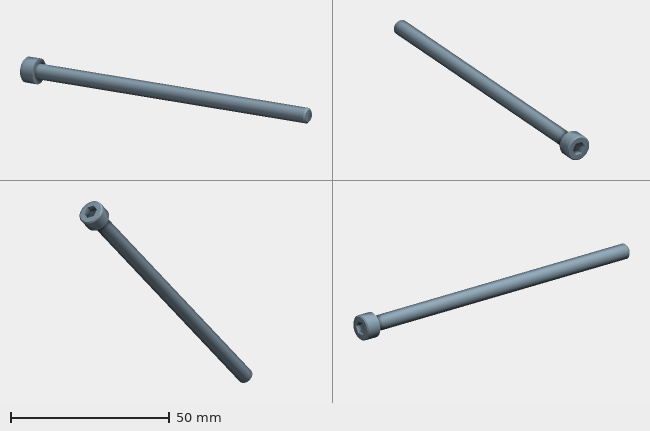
import cadquery as cq
import math

total_length = 104.8
head_diameter = 8.3
head_height = 4.8
head_edge_chamfer = 0.4
shank_diameter = 5.0
tip_chamfer = 0.5
hex_across_flats = 4.0
hex_depth = 2.5

head_face_x = -total_length / 2
hex_across_corners = hex_across_flats / math.cos(math.pi / 6)


def make_head():
    """Cylindrical head with a chamfered outer rim."""
    head = cq.Workplane("YZ", origin=(head_face_x, 0, 0)).circle(head_diameter / 2).extrude(head_height)
    return head.faces("<X").edges().chamfer(head_edge_chamfer)


def make_shank():
    """Plain shank running from the head to a chamfered tip."""
    shank = (
        cq.Workplane("YZ", origin=(head_face_x + head_height, 0, 0))
        .circle(shank_diameter / 2)
        .extrude(total_length - head_height)
    )
    return shank.faces(">X").edges().chamfer(tip_chamfer)


def make_hex_socket():
    """Hexagonal key socket with corners pointing along +Y and -Y."""
    return (
        cq.Workplane("YZ", origin=(head_face_x, 0, 0))
        .polygon(6, hex_across_corners)
        .extrude(hex_depth)
    )


result = make_head().union(make_shank()).cut(make_hex_socket())